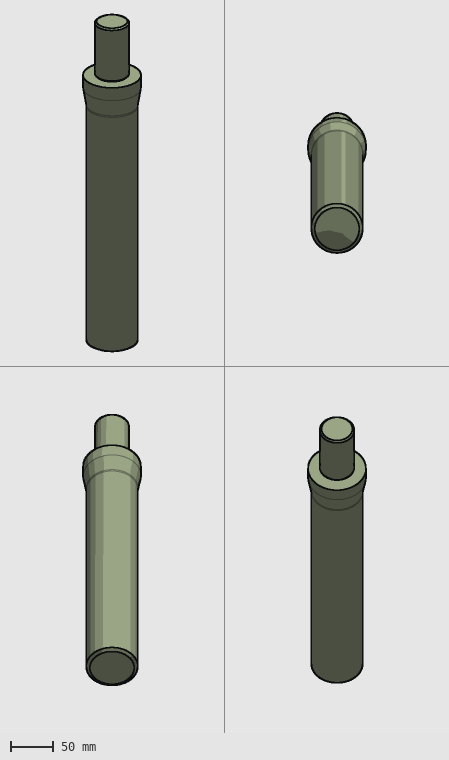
import cadquery as cq

total_height = 418.5

tube_radius = 30.0
collar_radius = 34.0
flare_bottom = 309.8
collar_bottom = 332.5
collar_top = 348.5
flare_fillet = 12.5

base_cone_radius = 26.0
base_cone_height = 1.3
bevel_top = 3.8

selection_margin = 0.5

rod_radius = 20.0
rod_length = total_height - collar_top
rod_chamfer = 2.0


def make_housing():
    """Solid of revolution: bevelled base, tube, conical flare and collar."""
    profile = (
        cq.Workplane("XZ")
        .lineTo(base_cone_radius, base_cone_height)
        .lineTo(tube_radius, bevel_top)
        .lineTo(tube_radius, flare_bottom)
        .lineTo(collar_radius, collar_bottom)
        .lineTo(collar_radius, collar_top)
        .lineTo(0, collar_top)
        .close()
    )
    body = profile.revolve(360, (0, 0, 0), (0, 1, 0))
    flare_root = cq.selectors.BoxSelector(
        (-collar_radius, -collar_radius, flare_bottom - selection_margin),
        (collar_radius, collar_radius, flare_bottom + selection_margin),
        boundingbox=True,
    )
    return body.edges(flare_root).fillet(flare_fillet)


def make_rod():
    """Round rod with both ends chamfered, resting on the collar's top face."""
    rod = cq.Workplane("XY").workplane(offset=collar_top).circle(rod_radius).extrude(rod_length)
    return rod.faces("<Z or >Z").edges().chamfer(rod_chamfer)


housing = make_housing()
rod = make_rod()

result = cq.Compound.makeCompound([housing.val(), rod.val()])